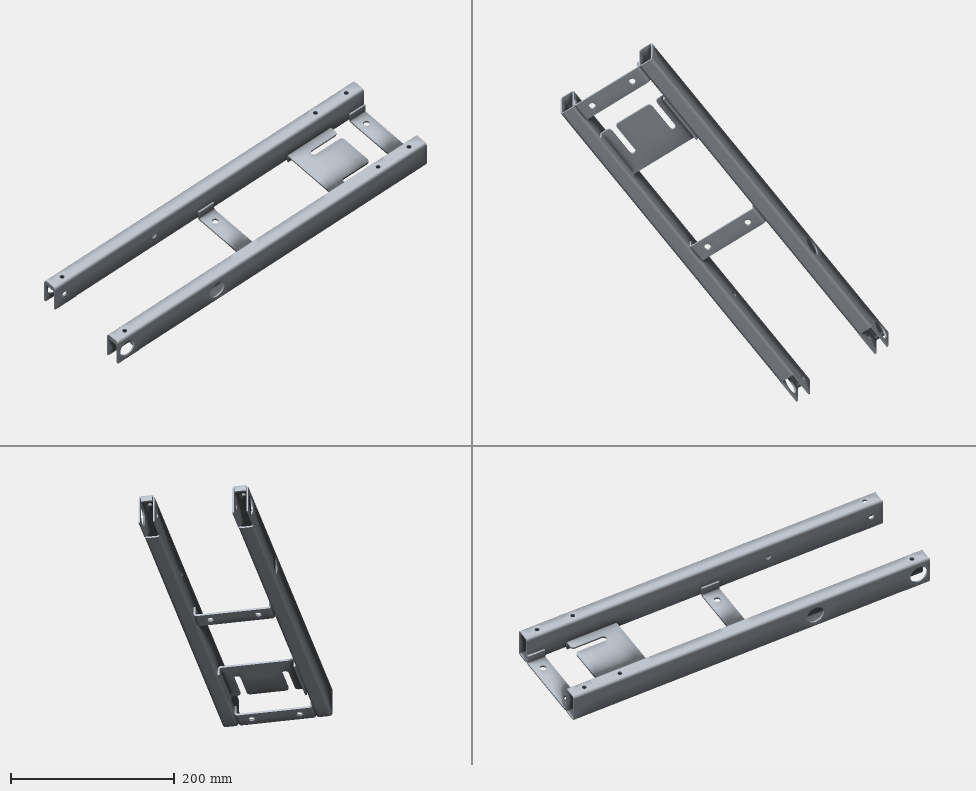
import cadquery as cq

LENGTH = 500.0
FRAME_WIDTH = 137.0
HEIGHT = 40.0

RAIL_WIDTH = 20.0
RAIL_SHEET = 2.0
RAIL_BEND = 4.0
RAIL_X = (FRAME_WIDTH - RAIL_WIDTH) / 2
RAIL_INNER_WIDTH = RAIL_WIDTH - 2 * RAIL_SHEET
RAIL_GAP = FRAME_WIDTH - 2 * RAIL_WIDTH

NOTCH_LENGTH = 35.0
NOTCH_HEIGHT = 2.0
NOTCH_CORNER = 1.5
TOP_RECESS = 1.0
LIP_WIDTH = 14.0
LIP_HEIGHT = 7.5
LIP_THICKNESS = 3.0

TOP_HOLE_DIAMETER = 6.0
TOP_HOLE_END_DISTANCE = 20.0
TOP_HOLE_PITCH = 50.0
TOP_HOLE_YS = (
    TOP_HOLE_END_DISTANCE,
    LENGTH - TOP_HOLE_END_DISTANCE - TOP_HOLE_PITCH,
    LENGTH - TOP_HOLE_END_DISTANCE,
)
SIDE_HOLE_YS = (16.0, 161.0)
SIDE_HOLE_DIAMETER = 7.5
ACCESS_HOLE_DIAMETER = 23.5

CROSS_SHEET = 2.5

BRACE_LENGTH = 24.5
BRACE_HEIGHT = 13.5
BRACE_BEND = 4.0
BRACE_PITCH = 244.5
BRACE_REAR_YS = (LENGTH, LENGTH - BRACE_PITCH)
FASTENER_PITCH = 60.0
FASTENER_DIAMETER = 8.0

PLATE_FRONT_Y = 375.0
PLATE_LENGTH = 70.0
PLATE_HEIGHT = 12.0
PLATE_BEND = 3.0
SLOT_LENGTH = 46.0
SLOT_MOUTH_RADIUS = 4.5


def block(width, length, height, y, z):
    """Box centred on X, with its front face at y and its underside at z."""
    return cq.Workplane("XY").box(width, length, height, (True, False, False)).translate((0, y, z))


def channel(width, length, height, sheet, bend, folded_edges):
    """Sheet channel along Y, open on the side opposite its bends."""
    outer = block(width, length, height, 0, 0).edges("|Y").edges(folded_edges).fillet(bend)
    inner = block(width - 2 * sheet, length, height, 0, sheet if folded_edges == "<Z" else -sheet)
    return outer.cut(inner.edges("|Y").edges(folded_edges).fillet(bend - sheet))


def side_hole(diameter, y, start_x, depth):
    """Cylinder along +X at mid height of the rail."""
    start = cq.Vector(start_x, y, HEIGHT / 2)
    return cq.Workplane(cq.Solid.makeCylinder(diameter / 2, depth, start, cq.Vector(1, 0, 0)))


def left_rail():
    """Rail centred on X = 0, with its outer wall on the -X side."""
    outer = block(RAIL_WIDTH, LENGTH, HEIGHT, 0, 0).edges("|Y").fillet(RAIL_BEND)
    inner = block(RAIL_INNER_WIDTH, LENGTH, HEIGHT - 2 * RAIL_SHEET, 0, RAIL_SHEET)
    rail = outer.cut(inner.edges("|Y").fillet(RAIL_BEND - RAIL_SHEET))

    rail = rail.cut(block(RAIL_WIDTH, NOTCH_LENGTH, RAIL_BEND, 0, 0))
    wall_ends = block(RAIL_WIDTH, NOTCH_LENGTH, HEIGHT / 2, 0, NOTCH_HEIGHT)
    wall_ends = wall_ends.edges("<Y and <Z").fillet(NOTCH_CORNER)
    wall_ends = wall_ends.cut(block(RAIL_INNER_WIDTH, NOTCH_LENGTH, HEIGHT, 0, 0))
    wall_ends = wall_ends.cut(block(RAIL_WIDTH, NOTCH_LENGTH, HEIGHT, 0, RAIL_BEND))
    rail = rail.union(wall_ends)

    rail = rail.cut(block(RAIL_INNER_WIDTH, TOP_RECESS, LIP_HEIGHT, 0, HEIGHT - LIP_HEIGHT))
    lip = block(LIP_WIDTH, LIP_THICKNESS, LIP_HEIGHT, TOP_RECESS, HEIGHT - LIP_HEIGHT)
    rail = rail.union(lip.intersect(outer)).clean()

    screw_points = [(0, y) for y in TOP_HOLE_YS]
    top = cq.Workplane("XY", origin=(0, 0, HEIGHT)).pushPoints(screw_points)
    rail = rail.cut(top.circle(TOP_HOLE_DIAMETER / 2).extrude(-HEIGHT / 2))

    for y in SIDE_HOLE_YS:
        rail = rail.cut(side_hole(ACCESS_HOLE_DIAMETER, y, -RAIL_WIDTH / 2, RAIL_WIDTH / 2))
        rail = rail.cut(side_hole(SIDE_HOLE_DIAMETER, y, 0, RAIL_WIDTH / 2))
    return rail


def brace(rear_y):
    """Cross channel with a fastener hole near each end."""
    body = channel(RAIL_GAP, BRACE_LENGTH, BRACE_HEIGHT, CROSS_SHEET, BRACE_BEND, "<Z")
    holes = (
        cq.Workplane("XY", origin=(0, BRACE_LENGTH / 2, 0))
        .rarray(FASTENER_PITCH, 5, 2, 1)
        .circle(FASTENER_DIAMETER / 2)
        .extrude(CROSS_SHEET)
    )
    return body.cut(holes).translate((0, rear_y - BRACE_LENGTH, 0))


def slotted_plate():
    """Raised plate with two slots open to the rear, in line with the brace holes."""
    body = channel(RAIL_GAP, PLATE_LENGTH, PLATE_HEIGHT, CROSS_SHEET, PLATE_BEND, ">Z")
    slot_radius = FASTENER_DIAMETER / 2
    slot_end_y = PLATE_LENGTH - SLOT_LENGTH + slot_radius
    mouth_y = PLATE_LENGTH - SLOT_MOUTH_RADIUS
    mouth_half_width = slot_radius + SLOT_MOUTH_RADIUS
    for x in (-FASTENER_PITCH / 2, FASTENER_PITCH / 2):
        slot = (
            cq.Workplane("XY")
            .moveTo(x - slot_radius, slot_end_y)
            .threePointArc((x, slot_end_y - slot_radius), (x + slot_radius, slot_end_y))
            .lineTo(x + slot_radius, mouth_y)
            .radiusArc((x + mouth_half_width, PLATE_LENGTH), SLOT_MOUTH_RADIUS)
            .lineTo(x - mouth_half_width, PLATE_LENGTH)
            .radiusArc((x - slot_radius, mouth_y), SLOT_MOUTH_RADIUS)
            .close()
            .extrude(PLATE_HEIGHT)
        )
        body = body.cut(slot)
    return body.translate((0, PLATE_FRONT_Y, 0))


placed_rail = left_rail().translate((-RAIL_X, 0, 0))
result = placed_rail.union(placed_rail.mirror("YZ")).union(slotted_plate())
for brace_rear_y in BRACE_REAR_YS:
    result = result.union(brace(brace_rear_y))